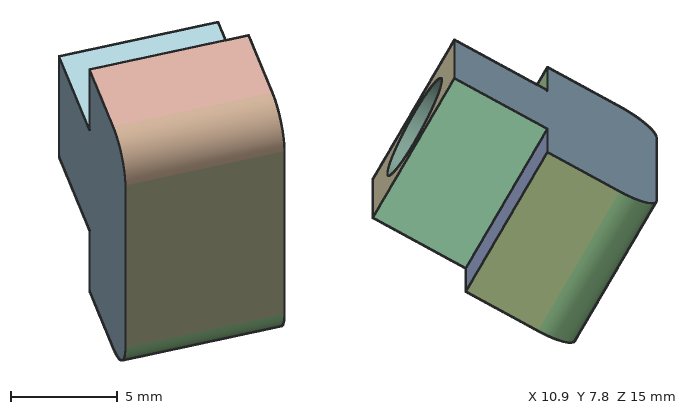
import cadquery as cq

length = 10.9
width = 7.8
height = 15.0

stem_length = 5.01
stem_height = 6.81
head_corner_radius = 2.0

hole_diameter = 5.2
hole_radius = hole_diameter / 2
hole_offset_y = -0.1
hole_straight_depth = 2.45


def make_body():
    """Head plate with rounded outer edges, plus the centred stem."""
    head_length = length - stem_length
    head = (
        cq.Workplane("XY")
        .box(head_length, width, height)
        .edges("|Y and >X")
        .fillet(head_corner_radius)
        .translate((stem_length + head_length / 2, 0, 0))
    )
    stem = cq.Workplane("XY").box(stem_length, width, stem_height).translate((stem_length / 2, 0, 0))
    return head.union(stem)


def make_hole():
    """Straight bore along X that ends in a half ball of the same radius."""
    bore = cq.Workplane("YZ").center(hole_offset_y, 0).circle(hole_radius).extrude(hole_straight_depth)
    ball = cq.Workplane("XY").sphere(hole_radius).translate((hole_straight_depth, hole_offset_y, 0))
    return bore.union(ball)


result = make_body().cut(make_hole())